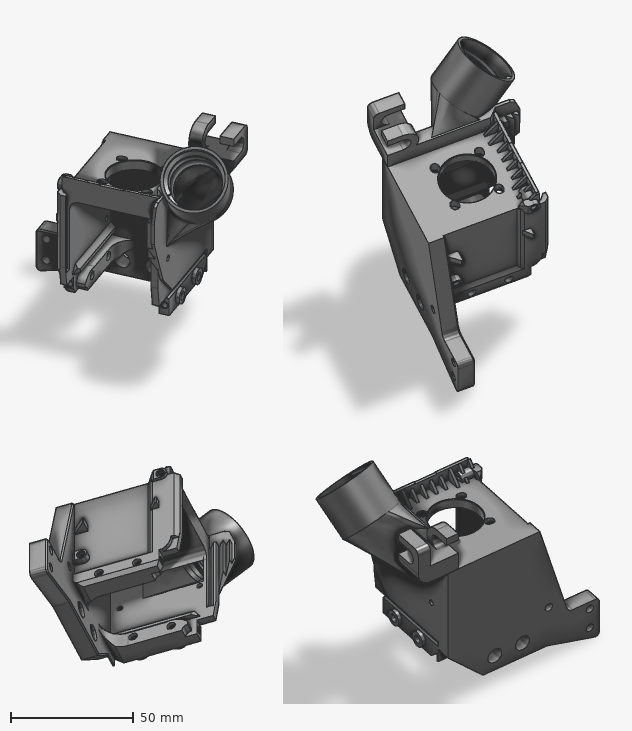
import cadquery as cq
import math

plate_t = 7.6
plate_edge = 0.6
rod_d = 7.0
slope = math.radians(16)

rail_bottom = 17.9
wall_bottom = 26.0
ceiling_z = 64.9
roof_z = 69.4
lip_z = 75.7
bar_z = 77.8

left_out = 29.2
left_panel = 30.9
inner_left = 33.5
inner_right = 71.7
right_panel = 74.8
right_out = 76.2

rail_front = -45.5
lip_back = -48.4
lip_front = -49.8
post_front = -54.0
relief_top = 32.2
overlap = 0.5

socket_d = 28.0
socket_len = 19.7
socket_tilt = math.tan(math.radians(15))
axis = cq.Vector(socket_tilt, -1, 1).normalized()
mouth = cq.Vector(90.4, -52.7, 90.3)
socket_base = mouth - axis * socket_len


def prism_x(points, x0, x1):
    """Outline of (y, z) points swept from x0 to x1."""
    return cq.Workplane("YZ", origin=(x0, 0, 0)).polyline(points).close().extrude(x1 - x0)


def prism_y(points, y0, y1):
    """Outline of (x, z) points swept from y0 forward to y1."""
    return cq.Workplane("XZ", origin=(0, y0, 0)).polyline(points).close().extrude(y0 - y1)


def prism_z(points, z0, z1):
    """Outline of (x, y) points swept from z0 to z1."""
    return cq.Workplane("XY", origin=(0, 0, z0)).polyline(points).close().extrude(z1 - z0)


def block(x0, x1, y0, y1, z0, z1):
    return cq.Workplane("XY").box(x1 - x0, y1 - y0, z1 - z0, centered=False).translate((x0, y0, z0))


def rod_x(d, x0, x1, y, z):
    return cq.Workplane("YZ", origin=(x0, y, z)).circle(d / 2).extrude(x1 - x0)


def rod_y(d, y0, y1, x, z):
    return cq.Workplane("XZ", origin=(x, y0, z)).circle(d / 2).extrude(y0 - y1)


def mirror_side(solid):
    """Copy of a left-hand feature on the right-hand side of the chamber."""
    centre = (inner_left + inner_right) / 2
    return solid.mirror("YZ", (centre, 0, 0))


def back_plate():
    foot_r = 2.1
    foot_top = 19.9
    knee_x = 15.7
    knee_r = 3.1
    under_z = 6.9
    heel_x = 58.5
    corner_z = foot_r - foot_r / math.cos(slope) - foot_r * math.tan(slope)
    toe_x = (under_z - corner_z) / math.tan(slope)
    top_x = knee_x + (roof_z - foot_top) * math.tan(slope)
    outline = [
        (0, corner_z),
        (toe_x, under_z),
        (heel_x, under_z),
        (right_out, under_z + right_out - heel_x),
        (right_out, roof_z),
        (top_x, roof_z),
        (knee_x, foot_top),
        (0, foot_top),
    ]
    plate = prism_y(outline, 0, -plate_t)
    for x, z, r in [(0, corner_z, foot_r), (0, foot_top, foot_r), (knee_x, foot_top, knee_r)]:
        corner = cq.selectors.NearestToPointSelector((x, -plate_t / 2, z))
        plate = plate.edges("|Y").edges(corner).fillet(r)
    plate = plate.faces("<Y").edges().chamfer(plate_edge)
    screw_d = 3.6
    for x, z in [(4.8, 6.1), (4.8, 16.1), (25.4, 27.0)]:
        plate = plate.cut(rod_y(screw_d, 0, -plate_t, x, z))
    rod_z = 14.4
    for x in (38.7, 52.6):
        plate = plate.cut(rod_y(rod_d, 0, -plate_t, x, rod_z))
    return plate


body_back = -plate_t + plate_edge + 0.1


def left_wall():
    taper = left_panel - left_out
    frame_y = -40.0
    step = 1.1
    frame_run = 2.5
    sill_z = wall_bottom + taper
    wall = block(left_panel, inner_left, post_front, body_back, wall_bottom, roof_z)
    wall = wall.union(
        prism_z(
            [
                (left_panel, frame_y),
                (left_panel - step, frame_y - step),
                (left_out, frame_y - frame_run),
                (left_out, post_front),
                (left_panel, post_front),
            ],
            wall_bottom,
            roof_z,
        )
    )
    sill = [(left_out, rail_bottom), (left_out, wall_bottom), (left_panel, sill_z), (left_panel, rail_bottom)]
    wall = wall.union(prism_y(sill, body_back, rail_front))
    bevel = 2.0
    wall = wall.cut(
        prism_z(
            [
                (left_out, post_front + bevel),
                (left_out, post_front),
                (left_out + bevel, post_front),
            ],
            wall_bottom,
            roof_z,
        )
    )
    relief_depth = 1.7
    relief = (
        cq.Workplane("YZ", origin=(left_out, 0, 0))
        .moveTo(post_front, relief_top)
        .lineTo(-50.6, relief_top)
        .threePointArc((-49.7, 28.6), (-46.9, wall_bottom))
        .lineTo(post_front, wall_bottom)
        .close()
        .extrude(relief_depth)
    )
    return wall.cut(relief)


def panel_groove():
    """Slanted groove in the inner face of the left post, behind its front."""
    depth = 2.5
    inner_width = 0.8
    mouth_width = 2.9
    outline = [
        (inner_left, lip_front),
        (inner_left - depth, lip_front),
        (inner_left - depth, lip_front - inner_width),
        (inner_left, lip_front - mouth_width),
    ]
    return prism_z(outline, relief_top, roof_z)


def post_toe_cut():
    """Wedge that leans the lower front of both posts backward."""
    toe_top = 35.2
    lean = 1.4
    toe = [(post_front, toe_top), (post_front + lean, wall_bottom), (post_front, wall_bottom)]
    return prism_x(toe, left_out, right_panel)


def rail(x0, x1):
    return block(x0, x1, rail_front, body_back, rail_bottom, wall_bottom)


def chamber():
    part = left_wall()
    part = part.union(block(inner_right, right_panel, post_front, body_back, wall_bottom, roof_z))
    part = part.cut(post_toe_cut()).cut(panel_groove()).cut(mirror_side(panel_groove()))
    part = part.union(rail(left_out, inner_left)).union(rail(inner_right, right_out))
    edge_top = 20.3
    side_run = 1.0
    nose_run = 1.3
    edge = [(left_out, edge_top), (left_out, rail_bottom), (left_out + side_run, rail_bottom)]
    part = part.cut(prism_y(edge, body_back, rail_front))
    nose = [(rail_front, edge_top), (rail_front, rail_bottom), (rail_front + nose_run, rail_bottom)]
    part = part.cut(prism_x(nose, left_out, inner_left))
    corner_r = 4.2
    roof = block(left_panel, right_panel, lip_front, body_back, ceiling_z - corner_r, roof_z)
    opening = block(inner_left, inner_right, lip_front, -plate_t, rail_bottom, ceiling_z)
    opening = opening.edges("|Y and >Z").fillet(corner_r)
    part = part.union(roof.cut(opening))
    lip_left = 30.2
    lip_bevel = 0.7
    lip = block(lip_left, right_panel, lip_front, lip_back, roof_z - overlap, lip_z)
    lip = lip.edges("|Y and >Z and <X").chamfer(lip_bevel)
    dip = 0.3
    lip = lip.cut(block(47.0, 57.7, lip_front, lip_back, lip_z - dip, lip_z))
    lip_foot = block(left_panel, right_panel, lip_front, lip_back, ceiling_z, roof_z)
    return part.union(lip).union(lip_foot.cut(opening))


def lip_ribs():
    """Row of 45 degree ribs behind the lip; the middle four are shorter."""
    count = 9
    middle = range(3, 7)
    first_x = 30.2
    pitch = 4.8
    width = 1.4
    long_run = 6.1
    short_run = 4.4
    ribs = cq.Workplane("XY")
    for i in range(count):
        run = short_run if i in middle else long_run
        x = first_x + i * pitch
        tri = [
            (lip_back + run, roof_z),
            (lip_back, roof_z + run),
            (lip_back - overlap, roof_z),
            (lip_back, roof_z - overlap),
        ]
        ribs = ribs.union(prism_x(tri, x, x + width))
    return ribs


def roof_holes():
    cx, cy = 52.7, -27.4
    bore_d = 23.5
    rim_d = 24.2
    depth = roof_z - ceiling_z
    rim = (rim_d - bore_d) / 2
    holes = (
        cq.Workplane("XY", origin=(cx, cy, ceiling_z))
        .circle(bore_d / 2)
        .extrude(depth - rim)
        .faces(">Z")
        .workplane()
        .circle(bore_d / 2)
        .workplane(offset=rim)
        .circle(rim_d / 2)
        .loft()
    )
    spacing = 19.8
    slot_len = 4.6
    slot_d = 3.8
    slots = (
        cq.Workplane("XY", origin=(cx, cy, ceiling_z))
        .rect(spacing, spacing, forConstruction=True)
        .vertices()
        .slot2D(slot_len, slot_d)
        .extrude(depth)
    )
    return holes.union(slots)


def ridge():
    """Guide ridge on the left inner wall with a pointed front end."""
    z0, z1, top = 27.8, 29.5, 31.6
    reach = 2.2
    end_y = -43.8
    tip_y = -46.9
    section = [(inner_left, z0), (inner_left + reach, z0), (inner_left + reach, z1), (inner_left, top)]
    bar = prism_y(section, body_back, tip_y)
    tip = [(inner_left, tip_y), (inner_left + reach, end_y), (inner_left + reach, tip_y)]
    drop = [(end_y, top), (tip_y, top), (tip_y, z0)]
    return bar.cut(prism_z(tip, z0, top)).cut(prism_x(drop, inner_left, inner_left + reach))


def clamp_bar():
    """Bar along the left rail with a rounded nose, flared where it meets the plate."""
    top = 25.3
    thick = 4.1
    flare_r = 9.2
    nose_y = -43.0
    nose_z = 22.1
    round_r = 2.5
    x1 = inner_left + thick
    bar = (
        cq.Workplane("YZ", origin=(inner_left, 0, 0))
        .moveTo(body_back, rail_bottom)
        .lineTo(nose_y + round_r, rail_bottom)
        .radiusArc((nose_y, rail_bottom + round_r), -round_r)
        .lineTo(nose_y, nose_z)
        .threePointArc((-39.8, 24.7), (-33.3, top))
        .lineTo(body_back, top)
        .close()
        .extrude(thick)
    )
    flare = block(x1, x1 + flare_r, -plate_t - flare_r, body_back, rail_bottom, top)
    hollow = (
        cq.Workplane("XY", origin=(x1 + flare_r, -plate_t - flare_r, rail_bottom))
        .circle(flare_r)
        .extrude(top - rail_bottom)
    )
    return bar.union(flare.cut(hollow))


def rail_corner_cut():
    """Slanted clearance under the rails in the corner with the plate."""
    wedge = [(-plate_t, rail_bottom), (-plate_t, 21.8), (-11.7, rail_bottom)]
    return prism_x(wedge, left_out, right_out)


def snap_hooks():
    tip_x = 25.9
    tip_width = 0.6
    z0, z1 = 51.2, 54.3
    hooks = cq.Workplane("XY")
    for back_y, front_y in [(-plate_t, -13.6), (-40.5, -45.5)]:
        outline = [
            (left_panel + overlap, back_y),
            (left_panel, back_y),
            (tip_x, front_y + tip_width),
            (tip_x, front_y),
            (left_panel + overlap, front_y),
        ]
        hooks = hooks.union(prism_z(outline, z0, z1))
    return hooks


boss_x = 27.8
boss_d = 5.2


def screw_boss(y, z, end_x):
    """Round boss with a lug that slopes back to the wall and narrows toward its end."""
    boss = rod_x(boss_d, boss_x, end_x, y, z)
    half = boss_d / 2
    lug_y = y + 2.8
    reach = left_panel - boss_x
    lug = [
        (boss_x, y),
        (boss_x, lug_y),
        (left_panel, lug_y + reach),
        (left_panel + overlap, lug_y),
        (left_panel + overlap, y),
    ]
    bevel = 2.1
    side = [
        (y, z - half),
        (lug_y + reach - bevel, z - half),
        (lug_y + reach, z - half + bevel),
        (lug_y + reach, z + half - bevel),
        (lug_y + reach - bevel, z + half),
        (y, z + half),
    ]
    lug_body = prism_z(lug, z - half, z + half).intersect(prism_x(side, boss_x, inner_left))
    return boss.union(lug_body)


def screw_hole(y, z, end_x):
    hole_d = 2.6
    entry_d = 3.6
    entry_depth = 0.5
    entry = rod_x(entry_d, boss_x, boss_x + entry_depth, y, z)
    return rod_x(hole_d, boss_x, end_x, y, z).union(entry)


def right_flange():
    """Side plate with its angled front wing and two vertical teeth."""
    bottom = 28.4
    wing = [
        (body_back, bottom),
        (-42.2, bottom),
        (-51.8, 38.3),
        (-60.8, 60.3),
        (-60.8, 69.8),
        (-58.7, 76.6),
        (-56.5, bar_z),
        (body_back, bar_z),
    ]
    flange = prism_x(wing, right_panel, right_out)
    teeth = cq.Workplane("XY")
    for tip_x, root_y, tip_y in [(71.8, -54.0, -57.0), (72.4, -57.0, -59.6)]:
        outline = [
            (right_panel + overlap, root_y),
            (right_panel, root_y),
            (tip_x, tip_y),
            (right_panel + overlap, tip_y),
        ]
        teeth = teeth.union(prism_z(outline, bottom, roof_z))
    teeth = teeth.intersect(prism_x(wing, inner_right, right_out))
    return flange.union(teeth)


hook_x = (71.0, 76.9)
hook_front = -13.9


def top_bar():
    taper = right_panel - hook_x[0]
    step_y = -22.9
    outline = [
        (hook_x[1], 0),
        (hook_x[0], 0),
        (hook_x[0], lip_front + taper),
        (right_panel, lip_front),
        (right_out, lip_front),
        (right_out, step_y),
        (hook_x[1], step_y),
    ]
    return prism_z(outline, roof_z - overlap, bar_z)


def rod_hooks():
    """Two opposed C-shaped hooks that hold a rod along X."""
    far_x = (85.0, 91.2)
    back = 0.1
    base_r = 6.8
    back_r = 2.5
    r = 7.0
    cy = hook_front + r
    cz = bar_z + rod_d / 2
    top = cz + r
    bottom = cz - r

    def rounded(x0, x1):
        half = block(x0, x1, cy, back, bottom, top)
        return half.union(rod_x(2 * r, x0, x1, cy, cz))

    near = rounded(*hook_x)
    near = near.cut(block(*hook_x, cy, back, bar_z, bar_z + rod_d))
    base = block(hook_x[0], far_x[1], hook_front, back, roof_z, bar_z)
    base = base.edges("|Y and >X and <Z").fillet(base_r)
    far = block(*far_x, hook_front, back, bar_z - overlap, top)
    far = far.edges("|X and >Y and >Z").fillet(back_r)
    far = far.cut(block(*far_x, hook_front, cy, bar_z, bar_z + rod_d))
    hooks = near.union(base).union(far)
    return hooks.cut(rod_x(rod_d, hook_x[0], far_x[1], cy, cz))


base_plane = cq.Plane(origin=socket_base.toTuple(), xDir=(1, 0, -socket_tilt), normal=axis.toTuple())


def socket():
    return cq.Workplane(base_plane).circle(socket_d / 2).extrude(socket_len)


bore_d = 25.4
exit_d = 20.7
floor_t = 2.3


def socket_bore():
    wide = cq.Workplane(base_plane).workplane(offset=floor_t).circle(bore_d / 2).extrude(socket_len - floor_t)
    exit_hole = cq.Workplane(base_plane).circle(exit_d / 2).extrude(floor_t)
    return wide.union(exit_hole)


def socket_thread():
    """Single coarse inward thread ridge inside the socket."""
    pitch = 7.3
    turns = 1.6
    first_z = 6.4
    first_angle = 20
    crest_r = 22.0 / 2
    root_r = bore_d / 2 + 0.3
    root_half = 1.6
    crest_half = 0.5
    section = [
        (root_r, -root_half),
        (crest_r, -crest_half),
        (crest_r, crest_half),
        (root_r, root_half),
    ]
    path = cq.Workplane(cq.Wire.makeHelix(pitch, pitch * turns, crest_r))
    ridge_body = cq.Workplane("XZ").polyline(section).close().sweep(path, isFrenet=True)
    ridge_body = ridge_body.rotate((0, 0, 0), (0, 0, 1), first_angle).translate((0, 0, first_z))
    return cq.Workplane(ridge_body.val().moved(cq.Location(base_plane)))


def funnel_shape(corners, x, d):
    """Transition from an upright (y, z) outline at x to the round base of the socket."""
    side = cq.Wire.makePolygon([cq.Vector(x, y, z) for y, z in corners], close=True)
    ring = cq.Wire.makeCircle(d / 2, socket_base, axis)
    return cq.Workplane(cq.Solid.makeLoft([side, ring], True))


result = back_plate().union(chamber()).union(lip_ribs())
for feature in (ridge(), clamp_bar()):
    result = result.union(feature).union(mirror_side(feature))
result = result.cut(rail_corner_cut()).cut(roof_holes())

result = result.union(snap_hooks())
upper_boss_end = 37.7
screws = [(-11.7, 35.2, left_panel + overlap, inner_left), (-46.5, 70.1, upper_boss_end, upper_boss_end)]
for y, z, boss_end, hole_end in screws:
    result = result.union(screw_boss(y, z, boss_end)).cut(screw_hole(y, z, hole_end))

result = result.union(right_flange()).union(top_bar()).union(rod_hooks())

funnel_x = 71.9
duct = [(-20.0, 46.6), (-20.0, bar_z), (-41.7, bar_z), (-47.9, 46.6)]
window = [(-21.9, 48.1), (-21.9, 63.5), (-48.3, 63.5), (-48.3, 48.1)]
result = result.union(funnel_shape(duct, funnel_x, socket_d)).union(socket())
result = result.cut(funnel_shape(window, inner_right, exit_d)).cut(socket_bore()).union(socket_thread())

wall_hole_d = 2.5
wall_hole_z = 46.0
for y in (-11.7, -46.7):
    result = result.cut(rod_x(wall_hole_d, inner_right, right_out, y, wall_hole_z))

clamp_d = 3.8
pad_d = 7.0
pad_end = right_out + 1.8
clamp_z = 22.4
for y in (-19.1, -35.7):
    result = result.union(rod_x(pad_d, right_out, pad_end, y, clamp_z))
    result = result.cut(rod_x(clamp_d, left_out, pad_end, y, clamp_z))

pin_d = 2.5
pin_depth = 8.3
pin_entry_d = 3.1
pin_entry_depth = 0.4
pin_z = 22.3
for x in (31.7, 74.0):
    result = result.cut(rod_y(pin_d, rail_front + pin_depth, rail_front, x, pin_z))
    result = result.cut(rod_y(pin_entry_d, rail_front + pin_entry_depth, rail_front, x, pin_z))